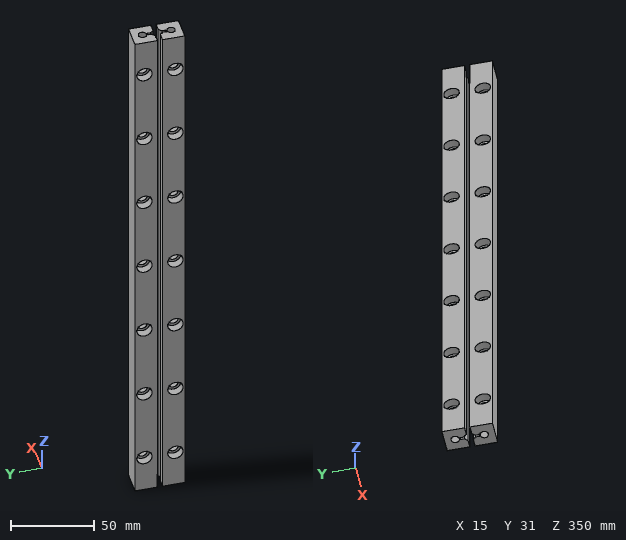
import cadquery as cq
import math

LENGTH = 350.0
WIDTH = 15.0
PAIR_DEPTH = 31.0
RAIL_DEPTH = 14.0

TRACK_OPENING = 5.0
TRACK_DEPTH = TRACK_OPENING / 2
RELIEF_WIDTH = 1.5
RELIEF_DEPTH = 4.2

HOLE_COUNT = 7
HOLE_PITCH = LENGTH / HOLE_COUNT
HOLE_INSET = 6.0
HOLE_DIAMETER = 6.0
COUNTERBORE_DIAMETER = 9.5
COUNTERBORE_DEPTH = 5.2

END_HOLE_INSET = 6.5
END_HOLE_DIAMETER = 5.0
END_HOLE_DEPTH = 10.5
DRILL_POINT_ANGLE = 118.0


def rail_blank():
    """Bar whose outer face is at -Y and whose inner face carries the roller track."""
    outer_y = -PAIR_DEPTH / 2
    inner_y = outer_y + RAIL_DEPTH
    half_relief = RELIEF_WIDTH / 2
    relief_start_y = inner_y - TRACK_DEPTH + half_relief
    relief_end_y = inner_y - RELIEF_DEPTH
    return (
        cq.Workplane("XY")
        .moveTo(-WIDTH / 2, outer_y)
        .lineTo(WIDTH / 2, outer_y)
        .lineTo(WIDTH / 2, inner_y)
        .lineTo(TRACK_OPENING / 2, inner_y)
        .lineTo(half_relief, relief_start_y)
        .lineTo(half_relief, relief_end_y)
        .lineTo(-half_relief, relief_end_y)
        .lineTo(-half_relief, relief_start_y)
        .lineTo(-TRACK_OPENING / 2, inner_y)
        .lineTo(-WIDTH / 2, inner_y)
        .close()
        .extrude(LENGTH)
    )


def mounting_holes():
    """Counterbored through holes, entered from the -X face."""
    axis_y = HOLE_INSET - PAIR_DEPTH / 2
    centres = [(axis_y, (index + 0.5) * HOLE_PITCH) for index in range(HOLE_COUNT)]
    face = cq.Workplane("YZ", origin=(-WIDTH / 2, 0, 0)).pushPoints(centres)
    bores = face.circle(HOLE_DIAMETER / 2).extrude(WIDTH)
    counterbores = face.circle(COUNTERBORE_DIAMETER / 2).extrude(COUNTERBORE_DEPTH)
    return bores.union(counterbores)


def end_hole():
    """Drilled hole with a conical bottom, going down from the top end face."""
    radius = END_HOLE_DIAMETER / 2
    point_length = radius / math.tan(math.radians(DRILL_POINT_ANGLE / 2))
    return (
        cq.Workplane("XZ", origin=(0, END_HOLE_INSET - PAIR_DEPTH / 2, LENGTH))
        .lineTo(radius, 0)
        .lineTo(radius, -END_HOLE_DEPTH)
        .lineTo(0, -END_HOLE_DEPTH - point_length)
        .close()
        .revolve(360, (0, 0), (0, 1))
    )


def make_rail():
    """One complete rail on the -Y side of the pair."""
    top_hole = end_hole()
    bottom_hole = top_hole.mirror("XY", (0, 0, LENGTH / 2))
    return rail_blank().cut(mounting_holes()).cut(top_hole).cut(bottom_hole)


front_rail = make_rail()
rails = [front_rail, front_rail.mirror("XZ")]

result = cq.Compound.makeCompound([rail.val() for rail in rails])